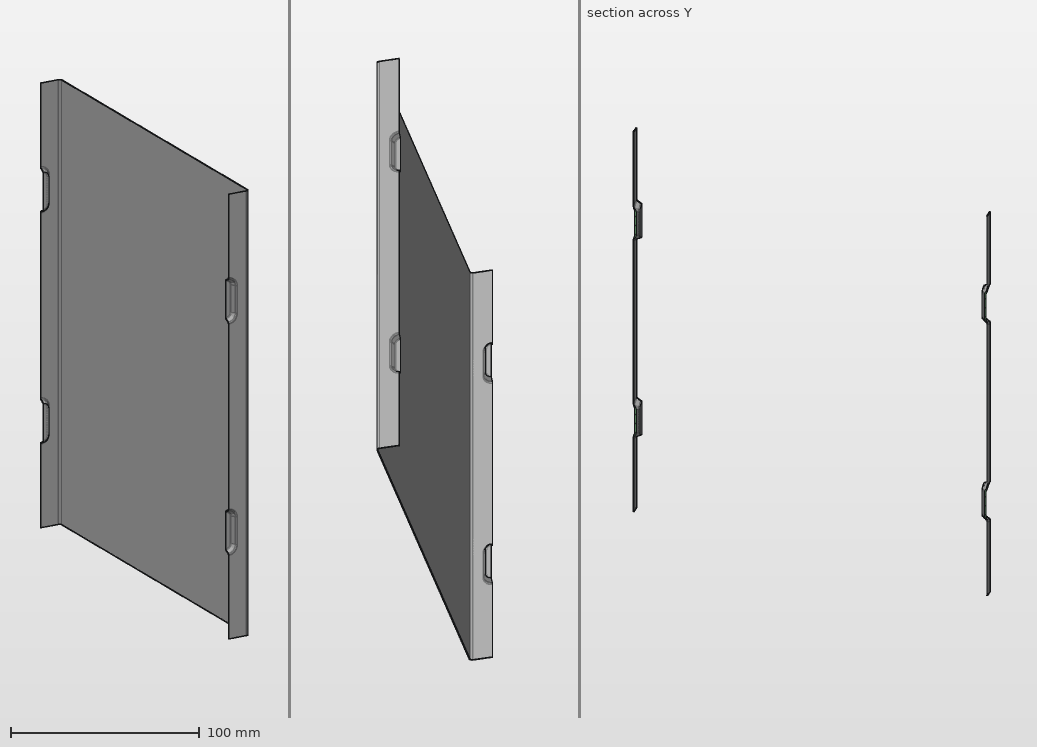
import cadquery as cq
import math

width = 202.2
depth = 12.5
height = 250.0
sheet = 0.6
bend_radius = 1.8

pad_spacing = 130.0
pad_straight = 15.5
pad_press = 3.0
pad_draft = math.radians(30)
hollow_radius = 4.5
mouth_round = 1.2
floor_round = 0.5

bump_radius = hollow_radius + sheet * math.tan((math.pi / 2 - pad_draft) / 2)
root_round = mouth_round - sheet

free_edge = -depth / 2
outer_face = -width / 2


def bent_panel():
    """U-shaped sheet: a back plate with a flange along each side."""
    outer = (
        cq.Workplane("XY")
        .box(width, depth, height)
        .edges("|Z and >Y")
        .fillet(bend_radius)
    )
    inner = (
        cq.Workplane("XY")
        .box(width - 2 * sheet, depth, height)
        .translate((0, -sheet, 0))
        .edges("|Z and >Y")
        .fillet(bend_radius - sheet)
    )
    return outer.cut(inner)


def pad_profile(face, base_radius, base_round, top_round, z):
    """Half section of a pad: a leaning wall, flared at the face and rounded at the top."""
    top = face + pad_press
    top_radius = base_radius - pad_press * math.tan(pad_draft)
    reach_per_radius = math.tan((math.pi / 2 - pad_draft) / 2)
    base_reach = base_round * reach_per_radius
    top_reach = top_round * reach_per_radius
    lean_x = math.cos(pad_draft)
    lean_y = math.sin(pad_draft)

    profile = (
        cq.Workplane("XY", origin=(0, free_edge, z))
        .moveTo(face, 0)
        .lineTo(face, base_radius + base_reach)
        .radiusArc((face + base_reach * lean_x, base_radius - base_reach * lean_y), -base_round)
        .lineTo(top - top_reach * lean_x, top_radius + top_reach * lean_y)
    )
    if top_round > 0:
        profile = profile.radiusArc((top, top_radius - top_reach), top_round)
    return profile.lineTo(top, 0).close()


def pad_solid(face, base_radius, base_round, top_round, z):
    """Half of a round-ended pad, from the free edge of the left flange."""
    shape = (face, base_radius, base_round, top_round)
    bottom = z - pad_straight / 2
    top = z + pad_straight / 2
    solid = pad_profile(*shape, bottom).extrude(pad_straight)
    for end, axis_direction in ((bottom, -1), (top, 1)):
        cap = pad_profile(*shape, end).revolve(90, (0, 0, 0), (axis_direction, 0, 0))
        solid = solid.union(cap)
    return solid


result = bent_panel()
for pad_z in (-pad_spacing / 2, pad_spacing / 2):
    bump = pad_solid(outer_face + sheet, bump_radius, root_round, 0, pad_z)
    hollow = pad_solid(outer_face, hollow_radius, mouth_round, floor_round, pad_z)
    result = result.union(bump).union(bump.mirror("YZ"))
    result = result.cut(hollow).cut(hollow.mirror("YZ"))